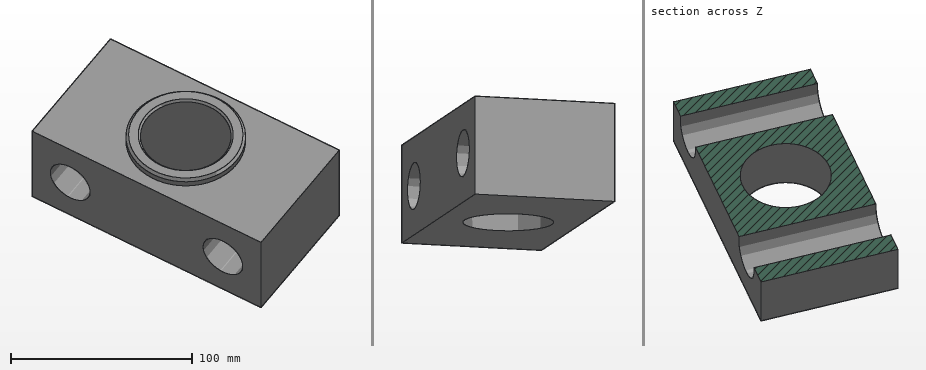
import cadquery as cq

length = 150
width = 80.0
total_height = 60
collar_height = 5.0
block_height = total_height - collar_height

collar_diameter = 66
bore_diameter = 50.0
edge_chamfer = 1.5
inner_chamfer = 1.2

cross_hole_diameter = 26.0
cross_hole_spacing = 100.0
cross_hole_height = block_height / 2

block = cq.Workplane("XY").box(length, width, block_height, centered=(True, True, False))

collar = (
    cq.Workplane("XY")
    .workplane(offset=block_height)
    .circle(collar_diameter / 2)
    .extrude(collar_height)
    .faces(">Z")
    .chamfer(edge_chamfer)
)

bore = cq.Workplane("XY").circle(bore_diameter / 2).extrude(total_height)
lead_in = (
    cq.Workplane("XY")
    .workplane(offset=total_height)
    .circle(bore_diameter / 2 + inner_chamfer)
    .extrude(-inner_chamfer, taper=45)
)

cross_holes = (
    cq.Workplane("XZ")
    .pushPoints([(side * cross_hole_spacing / 2, cross_hole_height) for side in (-1, 1)])
    .circle(cross_hole_diameter / 2)
    .extrude(width / 2, both=True)
)

result = block.union(collar).cut(bore).cut(lead_in).cut(cross_holes)